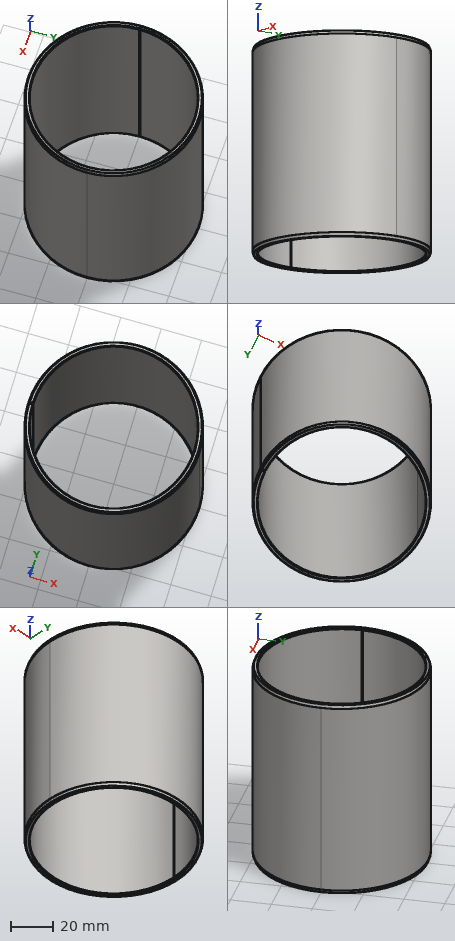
import cadquery as cq

length = 100.0
outer_diameter = 85.0
bore_diameter = 80.0
slit_width = 0.7

outer_chamfer_length = 1.7
outer_chamfer_depth = 0.6
inner_chamfer_length = 0.6
inner_chamfer_depth = 0.3

outer_radius = outer_diameter / 2
bore_radius = bore_diameter / 2
half_length = length / 2


def make_sleeve():
    """Revolve the chamfered wall section around Z, centred on the origin."""
    wall_section = [
        (bore_radius, -half_length + inner_chamfer_length),
        (bore_radius + inner_chamfer_depth, -half_length),
        (outer_radius - outer_chamfer_depth, -half_length),
        (outer_radius, -half_length + outer_chamfer_length),
        (outer_radius, half_length - outer_chamfer_length),
        (outer_radius - outer_chamfer_depth, half_length),
        (bore_radius + inner_chamfer_depth, half_length),
        (bore_radius, half_length - inner_chamfer_length),
    ]
    return cq.Workplane("XZ").polyline(wall_section).close().revolve(360, (0, 0), (0, 1))


def make_slit():
    """Full-length cutter through the -X wall, with one slit face on the XZ plane."""
    return cq.Workplane("XY").box(
        outer_radius, slit_width, length, centered=(False, False, True)
    ).translate((-outer_radius, 0, 0))


result = make_sleeve().cut(make_slit())